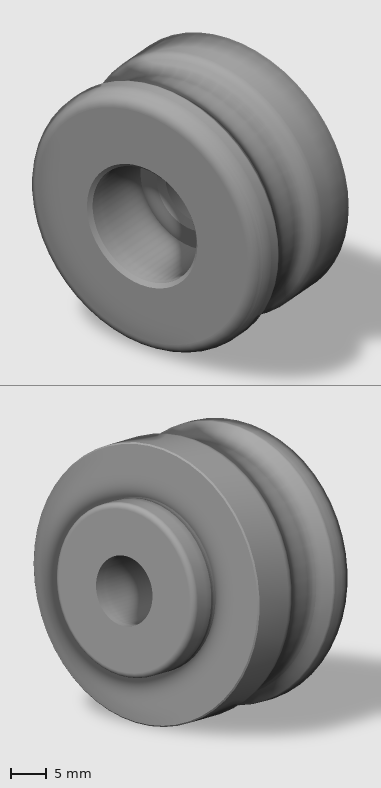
import cadquery as cq
import math

rim_radius = 20.3
length = 26.3
body_length = 21.5
back_edge_chamfer = 0.2

front_rim_angle = math.radians(30)
front_outer_round = 3.0
front_inner_round = 1.62
front_cone_length = 0.5

groove_radius = 18.2
groove_back = 14.8
front_crest = 4.43
blend_radius = 2.0
crest_blend_radius = 0.5
back_flank_angle = math.radians(45)
front_flank_angle = math.radians(40)

boss_radius = 12.55
boss_edge_radius = 0.8
neck_radius = 12.42
neck_front_taper = 0.3
neck_flat_length = 0.25
neck_back_taper = 0.4

bore_radius = 8.97
bore_depth = 12.0
bore_chamfer = 0.55
hole_radius = 5.08
countersink_radius = 6.17
countersink_slope = math.radians(30)


def flank_run(angle, crest_radius):
    """Axial length of a groove flank, including both tangent blends."""
    blends = (crest_radius + blend_radius) * math.tan(angle / 2)
    return blends + (rim_radius - groove_radius) / math.tan(angle)


def add_blend(outline, start, start_angle, end_angle, radius):
    """Add an arc whose heading (from +Y, positive outward) turns between angles."""
    turn = 1 if end_angle > start_angle else -1

    def point_at(angle):
        r = start[0] + turn * radius * (math.cos(start_angle) - math.cos(angle))
        y = start[1] + turn * radius * (math.sin(angle) - math.sin(start_angle))
        return r, y

    middle = point_at((start_angle + end_angle) / 2)
    end = point_at(end_angle)
    return outline.threePointArc(middle, end), end


def add_flank(outline, start, angle, first_radius, end, second_radius):
    """Join two cylinders by a sloping line with a tangent arc at each end."""
    outline, _ = add_blend(outline, start, 0, angle, first_radius)
    turn = 1 if angle > 0 else -1
    second_start = (
        end[0] - turn * second_radius * (1 - math.cos(angle)),
        end[1] - second_radius * math.sin(abs(angle)),
    )
    outline = outline.lineTo(*second_start)
    outline, _ = add_blend(outline, second_start, angle, 0, second_radius)
    return outline


def make_wheel():
    groove_floor_front = front_crest + flank_run(front_flank_angle, crest_blend_radius)
    groove_floor_back = groove_back - flank_run(back_flank_angle, blend_radius)

    cone_start = front_inner_round * (1 - math.sin(front_rim_angle))
    cone_end = cone_start + front_cone_length
    front_round_end = cone_end + front_outer_round * math.sin(front_rim_angle)
    cone_outer_radius = rim_radius - front_outer_round * (1 - math.cos(front_rim_angle))
    cone_inner_radius = cone_outer_radius - front_cone_length * math.tan(front_rim_angle)
    front_face_radius = cone_inner_radius - front_inner_round * math.cos(front_rim_angle)

    outline = cq.Workplane("XY").lineTo(front_face_radius, 0)
    outline, _ = add_blend(
        outline, (front_face_radius, 0), math.radians(90), front_rim_angle, front_inner_round
    )
    outline = outline.lineTo(cone_outer_radius, cone_end)
    outline, _ = add_blend(
        outline, (cone_outer_radius, cone_end), front_rim_angle, 0, front_outer_round
    )
    outline = outline.lineTo(rim_radius, front_crest)
    outline = add_flank(
        outline, (rim_radius, front_crest), -front_flank_angle, crest_blend_radius,
        (groove_radius, groove_floor_front), blend_radius,
    )
    outline = outline.lineTo(groove_radius, groove_floor_back)
    outline = add_flank(
        outline, (groove_radius, groove_floor_back), back_flank_angle, blend_radius,
        (rim_radius, groove_back), blend_radius,
    )
    neck_start = body_length + neck_front_taper
    neck_end = neck_start + neck_flat_length
    arc_inset = boss_edge_radius * (1 - math.sqrt(0.5))
    outline = (
        outline.lineTo(rim_radius, body_length - back_edge_chamfer)
        .lineTo(rim_radius - back_edge_chamfer, body_length)
        .lineTo(boss_radius, body_length)
        .lineTo(neck_radius, neck_start)
        .lineTo(neck_radius, neck_end)
        .lineTo(boss_radius, neck_end + neck_back_taper)
        .lineTo(boss_radius, length - boss_edge_radius)
        .threePointArc(
            (boss_radius - arc_inset, length - arc_inset),
            (boss_radius - boss_edge_radius, length),
        )
        .lineTo(0, length)
        .close()
    )
    return outline.revolve(360, (0, 0, 0), (0, 1, 0))


def make_stepped_hole():
    countersink_end = bore_depth + (countersink_radius - hole_radius) * math.tan(countersink_slope)
    return (
        cq.Workplane("XY")
        .lineTo(bore_radius + bore_chamfer, 0)
        .lineTo(bore_radius, bore_chamfer)
        .lineTo(bore_radius, bore_depth)
        .lineTo(countersink_radius, bore_depth)
        .lineTo(hole_radius, countersink_end)
        .lineTo(hole_radius, length)
        .lineTo(0, length)
        .close()
        .revolve(360, (0, 0, 0), (0, 1, 0))
    )


result = make_wheel().cut(make_stepped_hole())